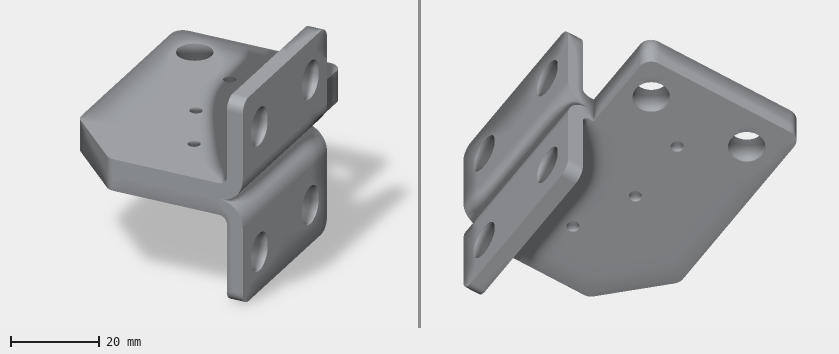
import cadquery as cq

overall_width = 49.0
plate_length = 65.0
flange_height = 26.0
flange_length = 42.95
thickness = 4.0
inner_bend_radius = 2.0
outer_bend_radius = inner_bend_radius + thickness

plate_width = 42.0
corner_chamfer = 15.0
corner_radius = 3.0

bolt_hole_diameter = 8.5
bolt_hole_spacing = 26.0
bolt_hole_inset = 9.0
bolt_hole_y = plate_length - bolt_hole_inset
bolt_hole_centers = [
    (bolt_hole_inset, bolt_hole_y),
    (bolt_hole_inset + bolt_hole_spacing, bolt_hole_y),
]
small_hole_diameter = 3.0
small_hole_centers = [(22.15, 47.4), (22.15, 30.15), (29.2, 15.1)]

slot_width = bolt_hole_diameter
slot_height = 9.5
slot_center_z = 16.0

bend_start_x = overall_width - outer_bend_radius


def make_plate():
    """Flat plate with one chamfered corner, rounded corners and its holes."""
    plate = (
        cq.Workplane("XY")
        .moveTo(corner_chamfer, 0)
        .lineTo(bend_start_x, 0)
        .lineTo(bend_start_x, flange_length)
        .lineTo(plate_width, flange_length)
        .lineTo(plate_width, plate_length)
        .lineTo(0, plate_length)
        .lineTo(0, corner_chamfer)
        .close()
        .extrude(thickness)
    )
    plate = plate.edges("|Z").edges(">Y").fillet(corner_radius)
    for corner in [(0, corner_chamfer), (corner_chamfer, 0)]:
        corner_edge = cq.NearestToPointSelector((*corner, thickness / 2))
        plate = plate.edges(corner_edge).fillet(corner_radius)

    bolt_holes = cq.Workplane("XY").pushPoints(bolt_hole_centers).circle(bolt_hole_diameter / 2)
    small_holes = cq.Workplane("XY").pushPoints(small_hole_centers).circle(small_hole_diameter / 2)
    return plate.cut(bolt_holes.extrude(thickness)).cut(small_holes.extrude(thickness))


def make_bend():
    """Quarter-round bend joining the plate to the flange."""
    bend_profile = (
        cq.Workplane("XZ")
        .moveTo(bend_start_x, 0)
        .radiusArc((overall_width, outer_bend_radius), -outer_bend_radius)
        .lineTo(overall_width - thickness, outer_bend_radius)
        .radiusArc((bend_start_x, thickness), inner_bend_radius)
        .close()
    )
    return bend_profile.extrude(-flange_length)


def make_flange():
    """Upright flange with rounded top corners and two slots."""
    flange = cq.Workplane("XY").box(
        thickness, flange_length, flange_height - outer_bend_radius, centered=False
    ).translate((overall_width - thickness, 0, outer_bend_radius))
    flange = flange.edges("|X").edges(">Z").fillet(corner_radius)

    slots = (
        cq.Workplane("YZ", origin=(overall_width - thickness, flange_length / 2, slot_center_z))
        .rarray(bolt_hole_spacing, flange_height, 2, 1)
        .slot2D(slot_height, slot_width, angle=90)
        .extrude(thickness)
    )
    return flange.cut(slots)


def make_bracket(points_up):
    """One bent bracket, with its flange pointing up or down."""
    bracket = make_plate().union(make_bend()).union(make_flange())
    if not points_up:
        bracket = bracket.mirror("XY")
    return bracket


brackets = []
for flange_points_up in (True, False):
    brackets.append(make_bracket(flange_points_up).solids().val())

result = cq.Compound.makeCompound(brackets)